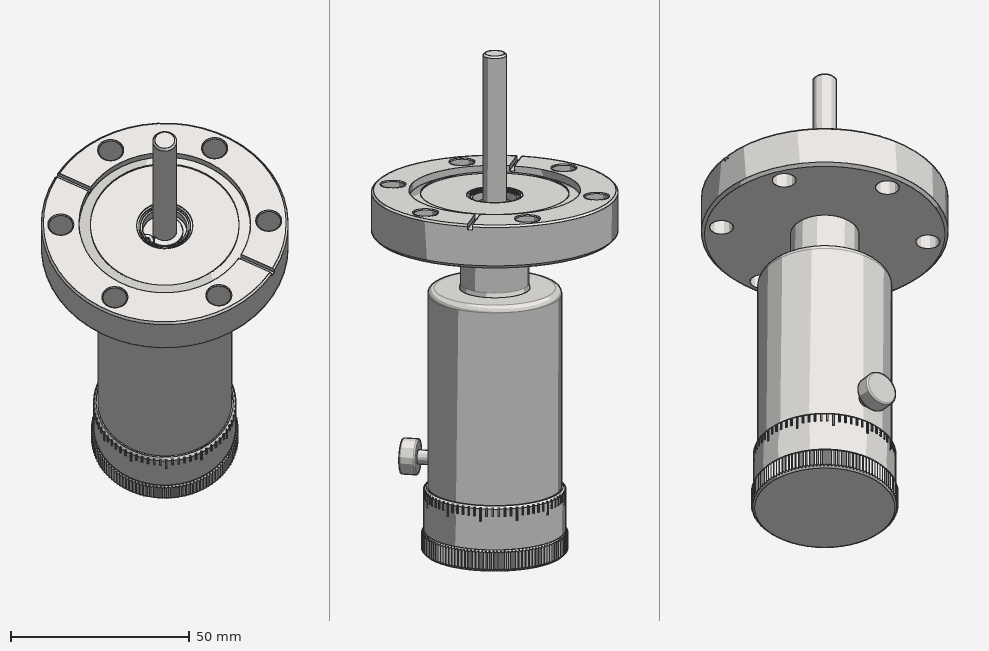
import cadquery as cq
import math

TOTAL_HEIGHT = 146.0
FLANGE_TOP = 105.8
FLANGE_BOTTOM = 93.1
BARREL_TOP = 77.2
DIAL_TOP = 19.0
GRIP_TOP = 6.3

FLANGE_RADIUS = 34.68
FLANGE_TOP_CHAMFER = 0.6
FLANGE_BOTTOM_CHAMFER = 0.9
RECESS_RADIUS = 24.1
RECESS_DEPTH = 2.2
KNIFE_EDGE_RADIUS = 20.9
KNIFE_EDGE_DEPTH = 0.9
FACE_DEPTH = 1.3
BOLT_COUNT = 6
BOLT_CIRCLE_RADIUS = 29.2
BOLT_HOLE_RADIUS = 3.4
BOLT_HOLE_CHAMFER = 0.3
LEAK_GROOVE_WIDTH = 1.5
LEAK_GROOVE_DEPTH = 1.5

BORE_RADII = (7.9, 7.3, 6.9, 6.3)
BORE_STEP_HEIGHT = 0.3
BORE_DEPTH = 3.4
COLLAR_RADIUS = 5.1
COLLAR_END_X = -0.6
COLLAR_INNER_X = -1.5
COLLAR_HEIGHT = 0.7
SLOT_WIDTH = 6.4
SLOT_DEPTH = 0.5
SCREW_HEAD_RADIUS = 1.9
SCREW_HEAD_HEIGHT = 0.6
SCREW_SOCKET_RADIUS = 0.9
SCREW_PITCH_RADIUS = 5.8
SCREW_ANGLES = (120, 240)

ROD_RADIUS = 3.4
ROD_CHAMFER = 0.6
NECK_RADIUS = 9.6
NECK_FOOT_RADIUS = 10.0
NECK_FOOT_HEIGHT = 1.3
BARREL_RADIUS = 18.8
BARREL_FILLET = 1.8

DIAL_RADIUS = 20.0
DIAL_CHAMFER = 0.7
TICK_COUNT = 72
TICKS_PER_LONG_TICK = 6
TICK_WIDTH = 0.5
TICK_DEPTH = 0.3
SHORT_TICK_BOTTOM = 16.0
LONG_TICK_BOTTOM = 14.6

GRIP_RADIUS = 20.6
GRIP_TOP_CHAMFER = 0.7
GRIP_BOTTOM_CHAMFER = 0.9
KNURL_COUNT = 120
KNURL_DEPTH = 0.5

KNOB_HEIGHT = 26.3
KNOB_RADIUS = 5.1
KNOB_INNER_Y = 21.9
KNOB_OUTER_Y = 26.5
KNOB_FILLET = 0.5
SHANK_RADIUS = 2.0


def disc(radius, bottom, top):
    """Upright cylinder on the main axis between two heights."""
    return cq.Workplane("XY").workplane(offset=bottom).circle(radius).extrude(top - bottom)


def polar_point(radius, angle):
    return radius * math.cos(angle), radius * math.sin(angle)


def make_flange():
    flange = disc(FLANGE_RADIUS, FLANGE_BOTTOM, FLANGE_TOP)
    flange = flange.faces(">Z").chamfer(FLANGE_TOP_CHAMFER)
    flange = flange.faces("<Z").chamfer(FLANGE_BOTTOM_CHAMFER)

    recess = (
        cq.Workplane("XZ")
        .moveTo(0, FLANGE_TOP)
        .lineTo(RECESS_RADIUS, FLANGE_TOP)
        .lineTo(RECESS_RADIUS, FLANGE_TOP - RECESS_DEPTH)
        .lineTo(KNIFE_EDGE_RADIUS, FLANGE_TOP - KNIFE_EDGE_DEPTH)
        .lineTo(KNIFE_EDGE_RADIUS, FLANGE_TOP - FACE_DEPTH)
        .lineTo(0, FLANGE_TOP - FACE_DEPTH)
        .close()
        .revolve(360, (0, 0, 0), (0, 1, 0))
    )
    bolt_holes = (
        cq.Workplane("XY")
        .workplane(offset=FLANGE_BOTTOM)
        .polarArray(BOLT_CIRCLE_RADIUS, 90, 360, BOLT_COUNT)
        .circle(BOLT_HOLE_RADIUS)
        .extrude(FLANGE_TOP - FLANGE_BOTTOM)
    )
    hole_mouths = (
        cq.Workplane("XY")
        .workplane(offset=FLANGE_TOP)
        .polarArray(BOLT_CIRCLE_RADIUS, 90, 360, BOLT_COUNT)
        .circle(BOLT_HOLE_RADIUS + BOLT_HOLE_CHAMFER)
        .extrude(-BOLT_HOLE_CHAMFER, taper=45)
    )

    groove_floor = FLANGE_TOP - LEAK_GROOVE_DEPTH
    grooves = cq.Workplane("XY").box(
        2 * FLANGE_RADIUS, LEAK_GROOVE_WIDTH, LEAK_GROOVE_DEPTH, centered=(True, True, False)
    ).translate((0, 0, groove_floor))
    grooves = grooves.cut(disc(RECESS_RADIUS, groove_floor, FLANGE_TOP))
    return flange.cut(recess).cut(bolt_holes).cut(hole_mouths).cut(grooves)


def make_bore():
    """Blind bore whose mouth narrows in small steps, with a slot in its floor toward -X."""
    mouth = FLANGE_TOP - FACE_DEPTH
    floor = mouth - BORE_DEPTH
    bore = disc(BORE_RADII[-1], floor, mouth)
    for step, radius in enumerate(BORE_RADII[:-1], start=1):
        bore = bore.union(disc(radius, mouth - step * BORE_STEP_HEIGHT, mouth))
    slot = (
        cq.Workplane("XY", origin=(-BORE_RADII[-1] / 2, 0, floor))
        .rect(BORE_RADII[-1], SLOT_WIDTH)
        .extrude(-SLOT_DEPTH)
        .intersect(disc(BORE_RADII[-1], floor - SLOT_DEPTH, floor))
    )
    return bore.union(slot)


def make_bore_fittings():
    """Part-round collar and two screw heads standing on the bore floor."""
    floor = FLANGE_TOP - FACE_DEPTH - BORE_DEPTH
    collar_end = math.sqrt(COLLAR_RADIUS**2 - COLLAR_END_X**2)
    fittings = (
        cq.Workplane("XY")
        .workplane(offset=floor)
        .moveTo(COLLAR_END_X, -collar_end)
        .threePointArc((COLLAR_RADIUS, 0), (COLLAR_END_X, collar_end))
        .lineTo(COLLAR_INNER_X, SLOT_WIDTH / 2)
        .lineTo(COLLAR_INNER_X, -SLOT_WIDTH / 2)
        .close()
        .extrude(COLLAR_HEIGHT)
    )
    for angle in SCREW_ANGLES:
        head = (
            cq.Workplane("XY")
            .workplane(offset=floor)
            .center(*polar_point(SCREW_PITCH_RADIUS, math.radians(angle)))
            .circle(SCREW_HEAD_RADIUS)
            .circle(SCREW_SOCKET_RADIUS)
            .extrude(SCREW_HEAD_HEIGHT)
        )
        fittings = fittings.union(head)
    return fittings


def make_rod():
    return disc(ROD_RADIUS, FLANGE_BOTTOM, TOTAL_HEIGHT).faces(">Z").chamfer(ROD_CHAMFER)


def make_body():
    """Neck with a flared foot on the rounded barrel."""
    barrel = disc(BARREL_RADIUS, 0, BARREL_TOP).faces(">Z").edges().fillet(BARREL_FILLET)
    neck = disc(NECK_RADIUS, BARREL_TOP, FLANGE_BOTTOM)
    foot = (
        cq.Workplane("XY")
        .workplane(offset=BARREL_TOP)
        .circle(NECK_FOOT_RADIUS)
        .workplane(offset=NECK_FOOT_HEIGHT)
        .circle(NECK_RADIUS)
        .loft()
    )
    return barrel.union(neck).union(foot)


def make_dial():
    """Dial sleeve with engraved graduations, every sixth one longer."""
    dial = disc(DIAL_RADIUS, GRIP_TOP, DIAL_TOP).faces(">Z").chamfer(DIAL_CHAMFER)
    ticks = cq.Workplane("XY")
    for index in range(TICK_COUNT):
        is_long = index % TICKS_PER_LONG_TICK == 0
        bottom = LONG_TICK_BOTTOM if is_long else SHORT_TICK_BOTTOM
        tick = (
            cq.Workplane("XY")
            .box(2 * TICK_DEPTH, TICK_WIDTH, DIAL_TOP - bottom, centered=(True, True, False))
            .translate((DIAL_RADIUS, 0, bottom))
            .rotate((0, 0, 0), (0, 0, 1), index * 360 / TICK_COUNT)
        )
        ticks.add(tick)
    return dial.cut(cq.Workplane(cq.Compound.makeCompound(ticks.vals())))


def make_grip():
    """Grip ring with straight V-shaped knurls around its rim."""
    half_pitch = math.pi / KNURL_COUNT
    outline = []
    for index in range(KNURL_COUNT):
        crest_angle = 2 * index * half_pitch
        outline.append(polar_point(GRIP_RADIUS, crest_angle))
        outline.append(polar_point(GRIP_RADIUS - KNURL_DEPTH, crest_angle + half_pitch))
    knurled = cq.Workplane("XY").polyline(outline).close().extrude(GRIP_TOP)
    envelope = disc(GRIP_RADIUS, 0, GRIP_TOP).faces("<Z").chamfer(GRIP_BOTTOM_CHAMFER)
    envelope = envelope.faces(">Z").chamfer(GRIP_TOP_CHAMFER)
    return knurled.intersect(envelope)


def make_clamp_screw():
    shank = cq.Workplane("XZ").circle(SHANK_RADIUS).extrude(-KNOB_INNER_Y)
    knob = (
        cq.Workplane("XZ", origin=(0, KNOB_INNER_Y, 0))
        .circle(KNOB_RADIUS)
        .extrude(KNOB_INNER_Y - KNOB_OUTER_Y)
        .edges()
        .fillet(KNOB_FILLET)
    )
    return shank.union(knob).translate((0, 0, KNOB_HEIGHT))


result = (
    make_flange()
    .cut(make_bore())
    .union(make_bore_fittings())
    .union(make_rod())
    .union(make_body())
    .union(make_dial())
    .union(make_grip())
    .union(make_clamp_screw())
)